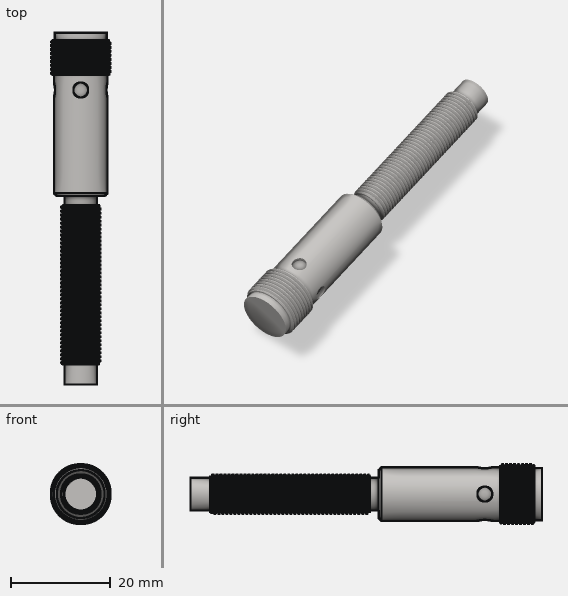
import cadquery as cq
import math

total_length = 70.5
tip_length = 4.0
front_thread_length = 32.0
neck_length = 1.75
rear_collar_length = 1.5
rear_thread_length = 7.0

front_thread_start = tip_length
front_thread_end = front_thread_start + front_thread_length
body_start = front_thread_end + neck_length
rear_thread_end = total_length - rear_collar_length
rear_thread_start = rear_thread_end - rear_thread_length

rear_thread_diameter = 12.0
front_thread_diameter = 7.9
tip_diameter = 6.6
body_diameter = 10.8
rear_collar_diameter = 10.5
body_chamfer = 0.6

pitch = 0.8
thread_depth = 0.6134 * pitch
crest_width = pitch / 8
base_width = 0.9 * pitch
base_overlap = 0.04
module_length = 10 * pitch
ridge_start_angle = 23
thread_end_chamfer = 0.4
envelope_clearance = 0.3

window_diameter = 3.0
window_position = 59.0
window_floor_radius = 4.6
window_count = 4


def cylinder(diameter, start, end):
    """Solid cylinder on the Y axis between two Y positions."""
    return cq.Workplane("XZ", origin=(0, start, 0)).circle(diameter / 2).extrude(start - end)


def thread_module(crest_radius):
    """A whole number of turns of plain thread on Z, cut square at both ends so that copies stack."""
    root_radius = crest_radius - thread_depth
    base_radius = root_radius - base_overlap

    path = cq.Wire.makeHelix(pitch, module_length + 2 * pitch, base_radius)
    ridge = (
        cq.Workplane("XZ")
        .polyline([
            (base_radius, -base_width / 2),
            (crest_radius, -crest_width / 2),
            (crest_radius, crest_width / 2),
            (base_radius, base_width / 2),
        ])
        .close()
        .sweep(cq.Workplane(path), isFrenet=True)
        .rotate((0, 0, 0), (0, 0, 1), ridge_start_angle)
        .translate((0, 0, -pitch))
    )
    core = cq.Workplane("XY", origin=(0, 0, -2 * pitch)).circle(root_radius).extrude(module_length + 4 * pitch)
    trim = cq.Workplane("XY").circle(crest_radius + envelope_clearance).extrude(module_length)
    return core.union(ridge).intersect(trim)


def threaded_section(diameter, start, end):
    """Right-hand external thread with beveled ends, stacked from equal modules."""
    length = end - start
    crest_radius = diameter / 2
    module = thread_module(crest_radius)
    thread = module
    for index in range(1, math.ceil(length / module_length)):
        thread = thread.union(module.translate((0, 0, index * module_length)))

    envelope = (
        cq.Workplane("XY")
        .circle(crest_radius + envelope_clearance)
        .extrude(length)
        .edges()
        .chamfer(thread_end_chamfer + envelope_clearance)
    )
    thread = thread.intersect(envelope)

    return thread.rotate((0, 0, 0), (1, 0, 0), -90).translate((0, start, 0))


def body():
    """Smooth housing with a chamfered front shoulder."""
    housing = cylinder(body_diameter, body_start, rear_thread_start)
    return housing.faces("<Y").edges().chamfer(body_chamfer)


def window(angle):
    """Tool for one window: a radial bore that stops at a round floor inside the housing."""
    bore = (
        cq.Workplane("XY", origin=(0, window_position, 0))
        .circle(window_diameter / 2)
        .extrude(body_diameter)
        .rotate((0, 0, 0), (0, 1, 0), angle)
    )
    floor = cylinder(
        2 * window_floor_radius,
        window_position - window_diameter,
        window_position + window_diameter,
    )
    return bore.cut(floor)


result = body()
result = result.union(cylinder(tip_diameter, 0, front_thread_start))
result = result.union(cylinder(tip_diameter, front_thread_end, body_start))
result = result.union(cylinder(rear_collar_diameter, rear_thread_end, total_length))
for index in range(window_count):
    result = result.cut(window(index * 360 / window_count))
result = result.union(threaded_section(front_thread_diameter, front_thread_start, front_thread_end))
result = result.union(threaded_section(rear_thread_diameter, rear_thread_start, rear_thread_end))